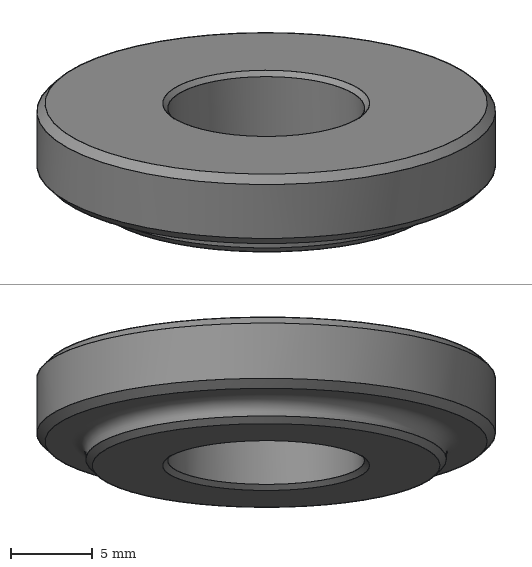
import cadquery as cq
import math

outer_diameter = 28.0
total_height = 6.0
bore_diameter = 12.0

seat_diameter = 22.0
seat_height = 1.5
seat_fillet = 0.8

rim_chamfer = 0.5
seat_chamfer = 0.4
bore_chamfer = 0.3

outer_radius = outer_diameter / 2
seat_radius = seat_diameter / 2
bore_radius = bore_diameter / 2

arc_offset = seat_fillet * (1 - math.sqrt(0.5))

profile = (
    cq.Workplane("XZ")
    .moveTo(bore_radius + bore_chamfer, 0)
    .lineTo(seat_radius - seat_chamfer, 0)
    .lineTo(seat_radius, seat_chamfer)
    .lineTo(seat_radius, seat_height - seat_fillet)
    .threePointArc(
        (seat_radius + arc_offset, seat_height - arc_offset),
        (seat_radius + seat_fillet, seat_height),
    )
    .lineTo(outer_radius - rim_chamfer, seat_height)
    .lineTo(outer_radius, seat_height + rim_chamfer)
    .lineTo(outer_radius, total_height - rim_chamfer)
    .lineTo(outer_radius - rim_chamfer, total_height)
    .lineTo(bore_radius + bore_chamfer, total_height)
    .lineTo(bore_radius, total_height - bore_chamfer)
    .lineTo(bore_radius, bore_chamfer)
    .close()
)

result = profile.revolve(360, (0, 0, 0), (0, 1, 0))